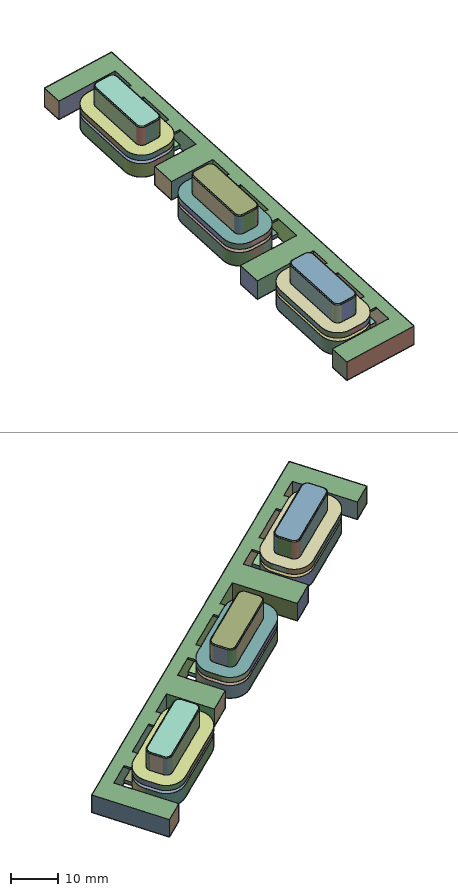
import cadquery as cq
strip_length = 105.0
strip_depth = 18.0
strip_height = 5.5
rail_depth = 2.9
end_leg_width = 5.0
inner_leg_width = 5.9
short_leg_reach = 14.0
short_leg_left = 33.1
long_leg_left = 68.0

first_button_x = 19.0
button_pitch = 34.0
rail_to_button_gap = 1.6

stem_length = 17.0
stem_width = 6.0
stem_corner_radius = 1.5
stem_top_chamfer = 0.2
flange_width = 12.0
flange_bottom = 4.9
flange_top = 6.5
button_top = 12.0
pad_height = 4.0
pad_tab_height = 1.0

flange_margin = (flange_width - stem_width) / 2
flange_length = stem_length + 2 * flange_margin
flange_corner_radius = stem_corner_radius + flange_margin
button_back_y = -rail_depth - rail_to_button_gap
button_y = button_back_y - flange_width / 2
tab_reach = flange_corner_radius - button_back_y

stations = [
    (first_button_x, 4.4, 3.9),
    (first_button_x + button_pitch, 4.1, 3.5),
    (first_button_x + 2 * button_pitch, 3.8, 4.1),
]


def block_from_back(left, width, back, front, bottom, top):
    """Plain block; back and front are distances forward (-Y) from the strip's back face."""
    return (
        cq.Workplane("XY")
        .box(width, front - back, top - bottom, centered=False)
        .translate((left, -front, bottom))
    )


def rounded_block(center_x, length, width, corner_radius, bottom, top):
    """Upright block with rounded vertical corners, centred on a button station."""
    return (
        cq.Workplane("XY", origin=(center_x, button_y, bottom))
        .rect(length, width)
        .extrude(top - bottom)
        .edges("|Z")
        .fillet(corner_radius)
    )


def flange_block(center_x, bottom, top):
    return rounded_block(center_x, flange_length, flange_width, flange_corner_radius, bottom, top)


def tab_pair(station, bottom, top):
    """Two tabs from the rail, outer sides in line with the stem ends, run on past the rounded corners."""
    center_x, left_width, right_width = station
    left_tab_left = center_x - stem_length / 2
    right_tab_left = center_x + stem_length / 2 - right_width
    left_tab = block_from_back(left_tab_left, left_width, rail_depth, tab_reach, bottom, top)
    right_tab = block_from_back(right_tab_left, right_width, rail_depth, tab_reach, bottom, top)
    return left_tab.union(right_tab)


def make_frame():
    """Rail with its two end legs, a short inner leg and a long inner leg."""
    frame = block_from_back(0, strip_length, 0, rail_depth, 0, strip_height)
    legs = [
        (0, end_leg_width, strip_depth),
        (short_leg_left, inner_leg_width, short_leg_reach),
        (long_leg_left, inner_leg_width, strip_depth),
        (strip_length - end_leg_width, end_leg_width, strip_depth),
    ]
    for left, width, reach in legs:
        frame = frame.union(block_from_back(left, width, 0, reach, 0, strip_height))
    return frame


def make_button(station):
    """Flange and stem with the two flexible tabs that hang them from the rail."""
    center_x = station[0]
    flange = flange_block(center_x, flange_bottom, flange_top)
    stem = rounded_block(center_x, stem_length, stem_width, stem_corner_radius, flange_top, button_top)
    stem = stem.faces(">Z").edges().chamfer(stem_top_chamfer)
    return flange.union(stem).union(tab_pair(station, flange_bottom, strip_height))


def make_button_strip():
    strip = make_frame()
    for station in stations:
        strip = strip.union(make_button(station))
    return strip


def make_pad(station):
    """Pad below a button, with two thin tabs at its foot that touch the rail."""
    center_x = station[0]
    return flange_block(center_x, 0, pad_height).union(tab_pair(station, 0, pad_tab_height))


button_strip = make_button_strip()
pads = [make_pad(station) for station in stations]

result = cq.Compound.makeCompound([button_strip.val(), *[pad.val() for pad in pads]])